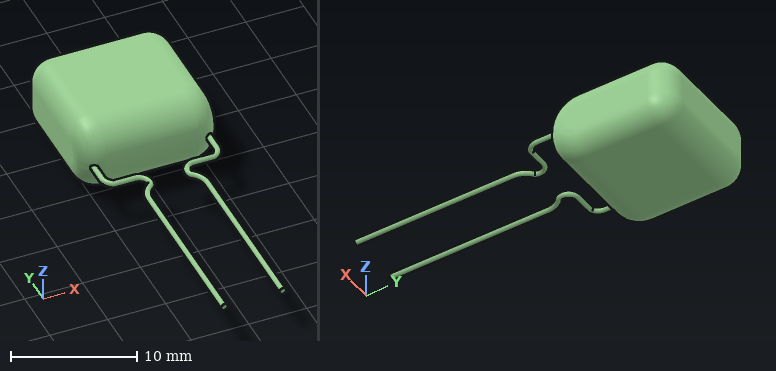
import cadquery as cq
import math

BODY_SIDE = 12.0
BODY_HEIGHT = 6.5
FRONT_RADIUS = 3.0
EDGE_RADIUS = 2.0

OVERALL_LENGTH = 31.92
LEAD_DIAMETER = 0.6
EMBED_DEPTH = 2.0
ENTRY_X = 4.95
TAIL_X = 2.52
SHOULDER_START_Y = -1.2
SHOULDER_Y = -2.2
SHOULDER_WIDTH = 0.65
HOOK_RADIUS = 0.9
HOOK_ANGLE = math.radians(118)
TAIL_START_Y = -5.05
TAIL_END_Y = BODY_SIDE - OVERALL_LENGTH


def make_block():
    """Block with two large front rounds and smaller rounds on all other edges."""
    block = cq.Workplane("XY").box(BODY_SIDE, BODY_SIDE, BODY_HEIGHT, centered=(True, False, True))
    block = block.faces("<Y").edges("|X").fillet(FRONT_RADIUS)
    side_and_back_edges = block.faces("<X or >X or >Y").edges()
    return side_and_back_edges.fillet(EDGE_RADIUS)


def hook_point(angle):
    """Point on the hook after turning inward through the given angle."""
    x = -TAIL_X + HOOK_RADIUS * math.sin(angle)
    y = SHOULDER_Y - HOOK_RADIUS * (1 - math.cos(angle))
    return (x, y)


def offset_bend_middle():
    """Middle of the arc that runs from the hook's end into the tail, tangent to the tail."""
    hook_end_x, hook_end_y = hook_point(HOOK_ANGLE)
    across = hook_end_x + TAIL_X
    along = hook_end_y - TAIL_START_Y
    radius = (across**2 + along**2) / (2 * across)
    half_angle = math.asin(along / radius) / 2
    x = -TAIL_X + radius * (1 - math.cos(half_angle))
    y = TAIL_START_Y + radius * math.sin(half_angle)
    return (x, y)


def shoulder_bend_middle():
    """Middle of the arc that leaves the entry stretch tangentially and ends at the shoulder."""
    drop = SHOULDER_START_Y - SHOULDER_Y
    radius = (SHOULDER_WIDTH**2 + drop**2) / (2 * SHOULDER_WIDTH)
    half_angle = math.asin(drop / radius) / 2
    x = -ENTRY_X + radius * (1 - math.cos(half_angle))
    y = SHOULDER_START_Y - radius * math.sin(half_angle)
    return (x, y)


def sweep_wire(path, start, section_plane):
    """Round wire along a smooth path that starts square to the given plane."""
    section = cq.Workplane(section_plane, origin=(*start, 0)).circle(LEAD_DIAMETER / 2)
    return section.sweep(path)


def joint_ball(point):
    """Ball that rounds off the corner where two stretches of wire meet at an angle."""
    return cq.Workplane("XY").center(*point).sphere(LEAD_DIAMETER / 2)


def make_left_lead():
    """Bent round wire in three smooth stretches: entry, hook and tail."""
    entry_start = (-ENTRY_X, EMBED_DEPTH)
    shoulder_start = (-ENTRY_X + SHOULDER_WIDTH, SHOULDER_Y)
    hook_end = hook_point(HOOK_ANGLE)
    tail_end = (-TAIL_X, TAIL_END_Y)

    entry_path = (
        cq.Workplane("XY")
        .moveTo(*entry_start)
        .lineTo(-ENTRY_X, SHOULDER_START_Y)
        .threePointArc(shoulder_bend_middle(), shoulder_start)
    )
    hook_path = (
        cq.Workplane("XY")
        .moveTo(*shoulder_start)
        .lineTo(-TAIL_X, SHOULDER_Y)
        .threePointArc(hook_point(HOOK_ANGLE / 2), hook_end)
    )
    tail_path = (
        cq.Workplane("XY")
        .moveTo(*tail_end)
        .lineTo(-TAIL_X, TAIL_START_Y)
        .threePointArc(offset_bend_middle(), hook_end)
    )

    lead = sweep_wire(entry_path, entry_start, "XZ")
    lead = lead.union(joint_ball(shoulder_start))
    lead = lead.union(sweep_wire(hook_path, shoulder_start, "YZ"))
    lead = lead.union(joint_ball(hook_end))
    return lead.union(sweep_wire(tail_path, tail_end, "XZ"))


def make_lead(side):
    """Lead on the left (side = -1) or on the right (side = 1)."""
    lead = make_left_lead()
    if side > 0:
        lead = lead.mirror("YZ")
    return lead


leads = [make_lead(side) for side in (-1, 1)]

body = make_block()
for lead in leads:
    body = body.cut(lead)

result = cq.Compound.makeCompound([body.solids().val(), *[lead.solids().val() for lead in leads]])